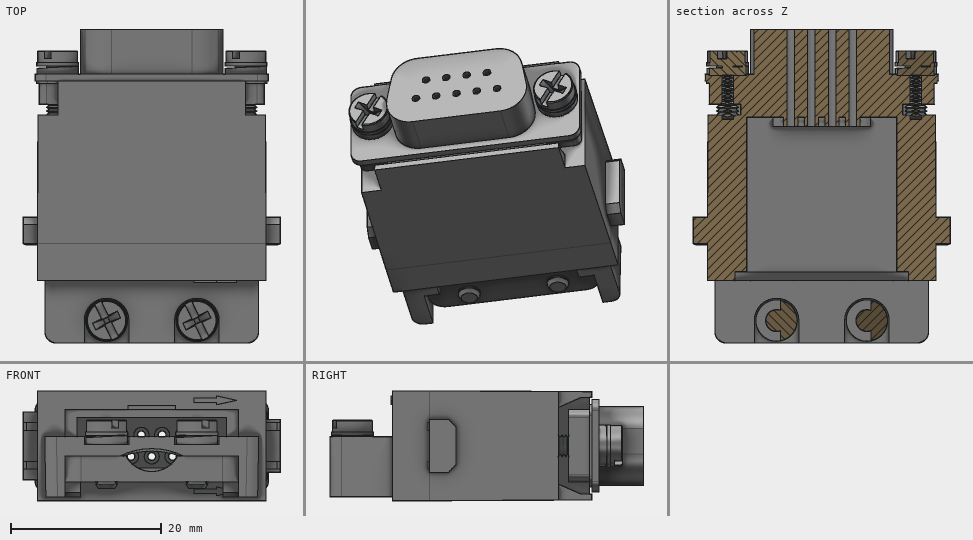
import cadquery as cq
import math


hood_width = 30.45
hood_height = 14.65
hood_front = 8.3
seam_y = 13.2
hood_back = 34.8
hood_draft = 0.28
notch_wall_x = 12.45
notch_floor_y = 30.35

entry_width = 23.0
entry_height = 9.6
entry_depth = 1.15
entry_key_width = 6.25
entry_key_height = 0.6
entry_key_depth = 0.5
cavity_width = 19.95
cavity_height = 7.6
cavity_back = 30.02

pocket_depth = 1.65
pocket_half_height = 6.42
pocket_throat_half_height = 5.1
pocket_taper_y = 33.35
block_width, block_height, block_radius = 29.95, 9.6, 1.0
block_back = 31.75
gasket_width, gasket_height = 30.7, 11.0
gasket_back = 34.53
flange_width, flange_height, flange_radius = 31.02, 12.35, 1.45
flange_face = 35.78
plug_face = 41.7
plug_height = 10.5
plug_half_width = 9.25
plug_side_slope = math.tan(math.radians(10))
plug_radius = 3.55

contact_pitch = 2.75
contact_rows = [(4, 1.45), (5, -1.4)]
contact_hole_radius = 0.5
contact_sleeve_radius = 1.0
contact_sleeve_length = 1.25

latch_tip_x = 17.1
latch_root_depth = 0.4
latch_back = 16.75
latch_chamfer = 1.0
latch_heights = {-1: 9.05, 1: 7.05}
latch_rib_z, latch_rib_height = 2.6, 1.05
latch_rib_end_x, latch_rib_lift = 16.65, 0.15

arrow_z = 6.05
arrow_tail_x, arrow_neck_x, arrow_tip_x = 5.6, 8.65, 11.25
arrow_stem_half, arrow_head_half = 0.3, 0.6
arrow_lift = 0.2

clamp_width = 28.45
clamp_bottom_width = 28.15
clamp_top, clamp_bottom = 1.2, -6.8
clamp_radius = 1.55
plate_bottom = -1.38
bar_width = 23.0
bar_bottom = -4.8
bar_front, bar_back = 0.6, 5.42
bar_radius = 2.13
foot_inner_x = 9.45
foot_chamfer = 0.6
mouth_depth = 1.6
plate_arch_half_width, plate_arch_rise = 4.25, 1.0
plate_throat_half_width, plate_throat_rise = 3.85, 0.65
bar_arch_half_width, bar_arch_drop = 3.4, 2.05
bar_lip_height = 0.5

screw_seat_z = 0.15
clamp_screw_x, clamp_screw_y = 6.0, 3.0
flange_screw_x = 12.5
flange_seat_depth = 0.15
seat_radius = 2.95
washer_radius, washer_thickness = 2.75, 0.9
washer_gap = 0.3
lip_top = 1.65
lip_radius = 2.8
head_radius, head_top = 2.65, 3.25
head_chamfer = 0.13
thread_radius, thread_root_radius = 1.45, 1.13
thread_pitch = 0.5
thread_turns = 10
shank_length = 5.85
tip_radius = 1.1
slot_width, slot_depth = 1.0, 1.05
cross_length, cross_depth, cross_floor = 3.65, 1.5, 0.65
clamp_slot_angle, flange_slot_angle = -64, 60


def box(x0, x1, y0, y1, z0, z1):
    """Box between two opposite corners."""
    return cq.Workplane("XY").box(x1 - x0, y1 - y0, z1 - z0, centered=False).translate((x0, y0, z0))


def wide_box(width, y0, y1, z0, z1):
    """Box centred on X = 0."""
    return box(-width / 2, width / 2, y0, y1, z0, z1)


def slab(width, height, y0, y1, radius=0):
    """Plate centred on the Y axis, with its four long edges rounded."""
    plate = wide_box(width, y0, y1, -height / 2, height / 2)
    return plate.edges("|Y").fillet(radius) if radius else plate


def along_y(y):
    """Sketch plane in X and Z at the given Y; positive extrusions run towards -Y."""
    return cq.Workplane("XZ", origin=(0, y, 0))


def make_hood():
    front = slab(hood_width, hood_height, hood_front, seam_y)
    drafted = along_y(seam_y).rect(hood_width, hood_height).extrude(-(hood_back - seam_y), taper=hood_draft)
    hood = front.union(drafted)
    for side in (-1, 1):
        notch = wide_box(hood_width, notch_floor_y, hood_back, -hood_height, hood_height)
        hood = hood.cut(notch.translate((side * (notch_wall_x + hood_width / 2), 0, 0)))
    return hood


def make_entry():
    """Stepped cavity open at the front, with a key slot above it."""
    mouth = slab(entry_width, entry_height, hood_front, hood_front + entry_depth)
    cavity = slab(cavity_width, cavity_height, hood_front, cavity_back)
    key_top = entry_height / 2 + entry_key_height
    key = wide_box(entry_key_width, hood_front, hood_front + entry_key_depth, 0, key_top)
    return mouth.union(cavity).union(key)


def make_side_pockets():
    """Flared pockets in the notch walls and the gap behind the flange."""
    pockets = wide_box(flange_width, gasket_back, hood_back, -pocket_half_height, pocket_half_height)
    flare = (
        cq.Workplane("YZ", origin=(notch_wall_x - pocket_depth, 0, 0))
        .moveTo(hood_back, -pocket_half_height)
        .lineTo(hood_back, pocket_half_height)
        .lineTo(pocket_taper_y, pocket_half_height)
        .lineTo(notch_floor_y, pocket_throat_half_height)
        .lineTo(notch_floor_y, -pocket_throat_half_height)
        .lineTo(pocket_taper_y, -pocket_half_height)
        .close()
        .extrude(pocket_depth)
    )
    return pockets.union(flare).union(flare.mirror("YZ"))


def make_connector():
    block = slab(block_width, block_height, block_back, gasket_back, block_radius)
    gasket = slab(gasket_width, gasket_height, gasket_back, hood_back, flange_radius)
    flange = slab(flange_width, flange_height, hood_back, flange_face, flange_radius)
    half_height = plug_height / 2
    top_x = plug_half_width - half_height * plug_side_slope
    bottom_x = plug_half_width + half_height * plug_side_slope
    plug = (
        along_y(plug_face)
        .moveTo(-bottom_x, -half_height)
        .lineTo(bottom_x, -half_height)
        .lineTo(top_x, half_height)
        .lineTo(-top_x, half_height)
        .close()
        .extrude(plug_face - flange_face)
        .edges("|Y")
        .fillet(plug_radius)
    )
    return block.union(gasket).union(flange).union(plug)


def contact_points():
    points = []
    for count, z in contact_rows:
        points += [((i - (count - 1) / 2) * contact_pitch, z) for i in range(count)]
    return points


def make_contact_sleeves():
    centers = along_y(cavity_back).pushPoints(contact_points())
    return centers.circle(contact_sleeve_radius).extrude(contact_sleeve_length)


def make_contact_holes():
    length = plug_face - cavity_back + contact_sleeve_length
    return along_y(plug_face).pushPoints(contact_points()).circle(contact_hole_radius).extrude(length)


def make_latch(side):
    """Side latch with chamfered back corners and two tapering ribs on its front face."""
    height = latch_heights[side]
    wall_x = hood_width / 2 - latch_root_depth
    latch = box(wall_x, latch_tip_x, seam_y, latch_back, -height / 2, height / 2)
    latch = latch.edges("|X and >Y").chamfer(latch_chamfer)
    rib_outline = [
        (hood_width / 2, seam_y),
        (hood_width / 2, seam_y - latch_rib_lift),
        (latch_rib_end_x, seam_y - latch_rib_lift),
        (latch_tip_x, seam_y),
    ]
    for z in (-latch_rib_z, latch_rib_z):
        rib = cq.Workplane("XY", origin=(0, 0, z)).polyline(rib_outline).close()
        latch = latch.union(rib.extrude(latch_rib_height / 2, both=True))
    return latch if side > 0 else latch.mirror("YZ")


def make_arrow(z):
    """Raised arrow pointing towards +X."""
    return (
        along_y(hood_front)
        .moveTo(arrow_tail_x, z - arrow_stem_half)
        .lineTo(arrow_neck_x, z - arrow_stem_half)
        .lineTo(arrow_neck_x, z - arrow_head_half)
        .lineTo(arrow_tip_x, z)
        .lineTo(arrow_neck_x, z + arrow_head_half)
        .lineTo(arrow_neck_x, z + arrow_stem_half)
        .lineTo(arrow_tail_x, z + arrow_stem_half)
        .close()
        .extrude(arrow_lift)
    )


def arch(half_width, rise, depth):
    """Circular segment on the underside of the clamp plate, running back from the clamp face."""
    return (
        along_y(depth)
        .moveTo(-half_width, plate_bottom)
        .threePointArc((0, plate_bottom + rise), (half_width, plate_bottom))
        .close()
        .extrude(depth)
    )


def make_clamp():
    """Plate on two legs, with a strain relief bar under the plate and feet behind the bar."""
    top_x, bottom_x = clamp_width / 2, clamp_bottom_width / 2
    clamp = (
        along_y(hood_front)
        .moveTo(-top_x, clamp_top)
        .lineTo(top_x, clamp_top)
        .lineTo(bottom_x, clamp_bottom)
        .lineTo(-bottom_x, clamp_bottom)
        .close()
        .extrude(hood_front)
        .faces("<Y").edges("not |X").fillet(clamp_radius)
    )
    clamp = clamp.cut(wide_box(bar_width, 0, hood_front, clamp_bottom, plate_bottom))

    bar = wide_box(bar_width, bar_front, bar_back, bar_bottom, plate_bottom)
    clamp = clamp.union(bar.edges("|Z and <Y").fillet(bar_radius))

    foot = box(foot_inner_x, bar_width / 2, bar_back, hood_front, clamp_bottom, bar_bottom)
    foot = foot.edges("|X and <Y and <Z").chamfer(foot_chamfer)
    clamp = clamp.union(foot).union(foot.mirror("YZ"))

    clamp = clamp.cut(arch(plate_arch_half_width, plate_arch_rise, mouth_depth))
    clamp = clamp.cut(arch(plate_throat_half_width, plate_throat_rise, hood_front))
    clamp = clamp.cut(arch(bar_arch_half_width, -bar_arch_drop, hood_front))
    arch_floor = plate_bottom - bar_arch_drop
    lip = wide_box(2 * bar_arch_half_width, mouth_depth, bar_back, arch_floor, arch_floor + bar_lip_height)
    clamp = clamp.union(lip)

    for x in (-clamp_screw_x, clamp_screw_x):
        seat_plane = cq.Workplane("XY", origin=(x, clamp_screw_y, screw_seat_z))
        seat = seat_plane.circle(seat_radius).extrude(clamp_top)
        run_out = box(x - seat_radius, x + seat_radius, 0, clamp_screw_y, screw_seat_z, clamp_top)
        clamp = clamp.cut(seat).cut(run_out)
    return clamp


def place_on_clamp(body, side):
    return body.translate((side * clamp_screw_x, clamp_screw_y, screw_seat_z))


def place_on_flange(body, side):
    """Turn the +Z screw axis to +Y and set the seat in the flange."""
    turned = body.rotate((0, 0, 0), (1, 0, 0), -90)
    return turned.translate((side * flange_screw_x, flange_face - flange_seat_depth, 0))


def make_housing():
    housing = make_hood().cut(make_side_pockets()).cut(make_entry())
    housing = housing.union(make_connector()).union(make_contact_sleeves()).cut(make_contact_holes())
    housing = housing.union(make_clamp())
    for z in (-arrow_z, arrow_z):
        housing = housing.union(make_arrow(z))
    bore = cq.Workplane("XY").circle(thread_radius).extrude(-shank_length)
    washer_seat = cq.Workplane("XY").circle(washer_radius).extrude(flange_seat_depth)
    for side in (-1, 1):
        housing = housing.union(make_latch(side))
        housing = housing.cut(place_on_clamp(bore, side)).cut(place_on_flange(bore.union(washer_seat), side))
    return housing


def make_screw(slot_angle):
    """Screw with a lock washer under its lipped head; the seat is at Z = 0 and the shank points down."""
    gap_top = washer_thickness + washer_gap
    profile = (
        cq.Workplane("XZ")
        .moveTo(0, -shank_length)
        .lineTo(tip_radius, -shank_length)
        .lineTo(thread_radius, -(thread_turns + 0.5) * thread_pitch)
        .lineTo(thread_root_radius, -thread_turns * thread_pitch)
    )
    for turn in range(thread_turns, 0, -1):
        z = -turn * thread_pitch
        profile = profile.lineTo(thread_radius, z + thread_pitch / 2)
        profile = profile.lineTo(thread_root_radius, z + thread_pitch)
    screw = (
        profile.lineTo(washer_radius, 0)
        .lineTo(washer_radius, gap_top)
        .lineTo(lip_radius, gap_top)
        .lineTo(lip_radius, lip_top)
        .lineTo(head_radius, lip_top)
        .lineTo(head_radius, head_top - head_chamfer)
        .lineTo(head_radius - head_chamfer, head_top)
        .lineTo(0, head_top)
        .close()
        .revolve(360, (0, 0, 0), (0, 1, 0))
    )

    wedge = (
        cq.Workplane("XZ")
        .polyline([(-lip_radius, washer_thickness), (lip_radius, gap_top), (-lip_radius, gap_top)])
        .close()
        .extrude(lip_radius, both=True)
    )
    shank = cq.Workplane("XY").circle(thread_radius).extrude(lip_top)
    screw = screw.cut(wedge.cut(shank))

    slot = cq.Workplane("XY").box(2 * lip_radius, slot_width, 2 * slot_depth)
    cross = (
        cq.Workplane("XY")
        .rect(slot_width, cross_length)
        .workplane(offset=-cross_depth)
        .rect(cross_floor, cross_floor)
        .loft()
    )
    drive = slot.union(cross).translate((0, 0, head_top))
    return screw.cut(drive.rotate((0, 0, 0), (0, 0, 1), slot_angle))


housing = make_housing()
clamp_screws = [place_on_clamp(make_screw(clamp_slot_angle), side) for side in (-1, 1)]
flange_screws = [place_on_flange(make_screw(flange_slot_angle), side) for side in (-1, 1)]

result = cq.Compound.makeCompound(
    [body.solids().val() for body in [housing] + clamp_screws + flange_screws]
)